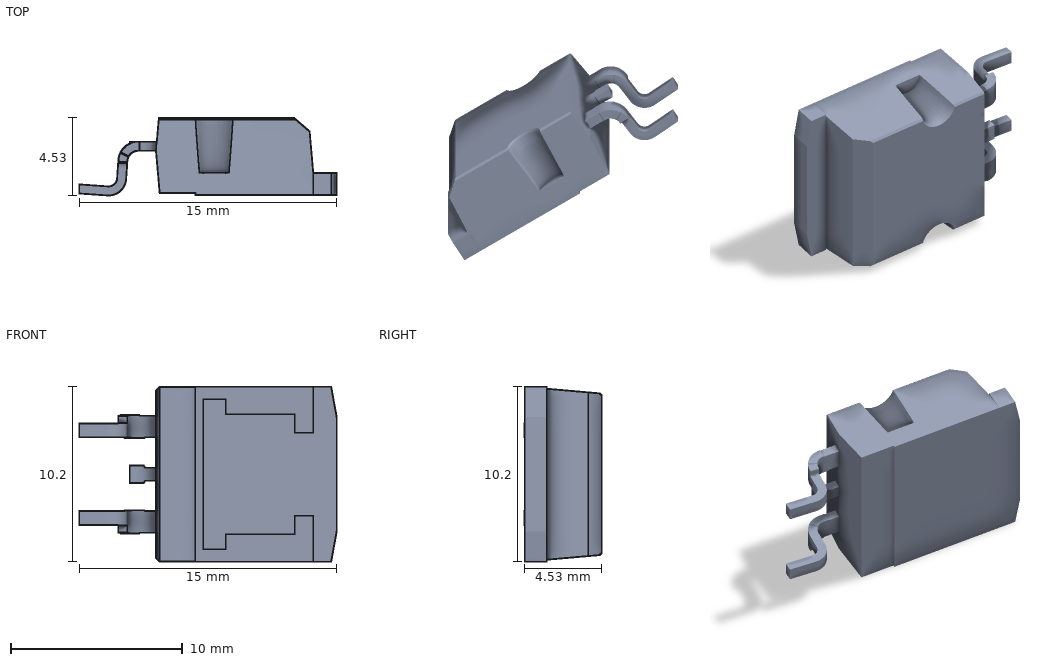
import cadquery as cq
import math


overall_length = 15.01
body_height = 4.5
body_width = 10.2
draft = math.tan(math.radians(5))

parting_height = 2.575
parting_left_x = 4.47
bevel_start_x = 12.52
bevel_end_x = 13.435
bevel_end_height = 3.71
back_edge_chamfer = 0.12
face_step_x = 6.777
face_step_depth = 0.11

notch_x = 7.866
notch_center_z = 4.9
notch_floor_radius = 0.865
notch_mouth_radius = 1.105
notch_rim_flare = 0.06

tab_thickness = 1.293
tab_start_x = 13.65
tab_taper_x = 14.69
tab_end_half_width = body_width / 2 - 1.763
pad_left_x = 7.233
pad_head_end_x = 8.553
pad_ear_start_x = 12.568
pad_head_half_width = 4.367
pad_half_width = 3.503
pad_ear_half_width = 2.419

lead_thickness = 0.542
lead_overrun = 0.5
lead_tilt = math.radians(4)
foot_drop = 0.03
foot_bend_radius = 0.76
top_bend_radius = 0.9
top_bend_x = 3.445
foot_inner_z = 2.142
foot_outer_z = 2.961
stub_outer_z = 3.413
bar_overhang = 0.045
bar_end_slope = 45
inner_shoulder_x = 3.845
outer_shoulder_x = 3.535
inner_bar_angle = math.radians(46)
outer_bar_angle = math.radians(26)
stub_length = 0.11
stub_corner = 0.045

center_lead_tip_x = 2.94
center_lead_half_width = 0.519
center_neck_half_width = 0.384
center_shoulder_start_x = 3.76
center_shoulder_end_x = 3.85

lead_run_end_x = parting_left_x + lead_overrun
lead_top = parting_height + lead_thickness


def mirrored_outline(half):
    """Close an outline in X and Z whose second half mirrors the first across Z = 0."""
    return half + [(x, -z) for x, z in reversed(half)]


def plate(outline, bottom, top):
    """Extrude an outline in X and Z upwards in Y."""
    return cq.Workplane("XZ", origin=(0, bottom, 0)).polyline(outline).close().extrude(bottom - top)


def slab(outline, z_low, z_high):
    """Extrude an outline in X and Y between two Z levels."""
    return cq.Workplane("XY", origin=(0, 0, z_low)).polyline(outline).close().extrude(z_high - z_low)


def make_tab():
    half = [
        (pad_left_x, pad_head_half_width),
        (pad_head_end_x, pad_head_half_width),
        (pad_head_end_x, pad_half_width),
        (pad_ear_start_x, pad_half_width),
        (pad_ear_start_x, pad_ear_half_width),
        (tab_start_x, pad_ear_half_width),
        (tab_start_x, body_width / 2),
        (tab_taper_x, body_width / 2),
        (overall_length, tab_end_half_width),
    ]
    return plate(mirrored_outline(half), 0, tab_thickness)


def make_notch(side):
    """Tapered round cutter with a flared rim; side is +1 or -1."""
    rim_height = body_height - back_edge_chamfer
    rim_radius = notch_mouth_radius + notch_rim_flare
    profile = [
        (0, tab_thickness),
        (notch_floor_radius, tab_thickness),
        (notch_mouth_radius, rim_height),
        (rim_radius, body_height),
        (0, body_height),
    ]
    cutter = cq.Workplane("XY").polyline(profile).close().revolve(360, (0, 0), (0, 1))
    return cutter.translate((notch_x, 0, side * notch_center_z))


def make_housing(tab):
    length_section = [
        (parting_left_x + parting_height * draft, 0),
        (parting_left_x, parting_height),
        (parting_left_x + (body_height - parting_height) * draft, body_height),
        (bevel_start_x, body_height),
        (bevel_end_x, bevel_end_height),
        (bevel_end_x + bevel_end_height * draft, 0),
    ]
    side_z = body_width / 2
    rim_height = body_height - back_edge_chamfer
    rim_z = side_z - rim_height * draft
    right_side = [(0, side_z), (rim_height, rim_z), (body_height, rim_z - back_edge_chamfer)]
    cross_section = right_side + [(y, -z) for y, z in reversed(right_side)]
    tapered_block = cq.Workplane("YZ").polyline(cross_section).close().extrude(overall_length)
    housing = slab(length_section, -side_z, side_z).intersect(tapered_block)

    face_step = cq.Workplane("XY").box(face_step_x, face_step_depth, body_width, centered=(False, False, True))
    housing = housing.cut(face_step)
    for side in (1, -1):
        housing = housing.cut(make_notch(side))
    return housing.cut(tab)


half_thickness = lead_thickness / 2
top_bend_y = parting_height + half_thickness - top_bend_radius
foot_bend_y = foot_bend_radius + half_thickness - foot_drop
riser_dir = (math.sin(lead_tilt), math.cos(lead_tilt))
riser_normal = (math.cos(lead_tilt), -math.sin(lead_tilt))
riser_top = (top_bend_x - top_bend_radius * riser_normal[0], top_bend_y - top_bend_radius * riser_normal[1])
riser_foot_y = foot_bend_y + foot_bend_radius * riser_normal[1]
riser_foot_x = riser_top[0] - (riser_top[1] - riser_foot_y) * math.tan(lead_tilt)
foot_bend_x = riser_foot_x - foot_bend_radius * riser_normal[0]


def on_circle(x, y, radius, angle):
    return (x + radius * math.cos(angle), y + radius * math.sin(angle))


def lead_strip(z_low, z_high):
    """The whole bent strip of an outer lead, between two Z levels."""

    def top_bend(offset, angle):
        return on_circle(top_bend_x, top_bend_y, top_bend_radius + offset, angle)

    def foot_bend(offset, angle):
        return on_circle(foot_bend_x, foot_bend_y, foot_bend_radius - offset, angle)

    def tip(offset):
        x, y = foot_bend(offset, foot_end)
        return (0, y + x * math.tan(lead_tilt))

    upright = math.pi / 2
    riser_start = math.pi - lead_tilt
    top_middle = (upright + riser_start) / 2
    foot_start = -lead_tilt
    foot_end = -upright - lead_tilt
    foot_middle = (foot_start + foot_end) / 2
    outer = half_thickness
    inner = -half_thickness
    strip = (
        cq.Workplane("XY", origin=(0, 0, z_low))
        .moveTo(lead_run_end_x, lead_top)
        .lineTo(*top_bend(outer, upright))
        .threePointArc(top_bend(outer, top_middle), top_bend(outer, riser_start))
        .lineTo(*foot_bend(outer, foot_start))
        .threePointArc(foot_bend(outer, foot_middle), foot_bend(outer, foot_end))
        .lineTo(*tip(outer))
        .lineTo(*tip(inner))
        .lineTo(*foot_bend(inner, foot_end))
        .threePointArc(foot_bend(inner, foot_middle), foot_bend(inner, foot_start))
        .lineTo(*top_bend(inner, riser_start))
        .threePointArc(top_bend(inner, top_middle), top_bend(inner, upright))
        .lineTo(lead_run_end_x, parting_height)
        .close()
    )
    return strip.extrude(z_high - z_low)


def bar_remnant(shoulder_x, end_angle, lead_side, direction):
    """Raised patch with sloped ends that the cut-off tie bar leaves on one side of the lead.

    It covers the run from shoulder_x and the bend down to end_angle above the level of the bend
    centre, and rises from the Z level lead_side towards the given direction, +1 or -1.
    """
    reach = top_bend_radius + lead_thickness
    bend_end = on_circle(top_bend_x, top_bend_y, reach, math.pi - end_angle)
    outline = [
        (top_bend_x, top_bend_y),
        (shoulder_x, top_bend_y),
        (shoulder_x, top_bend_y + reach),
        (bend_end[0], top_bend_y + reach),
        bend_end,
    ]
    patch_plane = cq.Workplane("XY", origin=(0, 0, lead_side))
    patch = patch_plane.polyline(outline).close().extrude(direction * bar_overhang, taper=bar_end_slope)
    wide_side = lead_side + direction * bar_overhang
    return lead_strip(min(lead_side, wide_side), max(lead_side, wide_side)).intersect(patch)


def stub_zone():
    """Block, square to the riser, that keeps the stub beside the foot and everything above it."""
    end_plane = cq.Plane(
        origin=(riser_top[0] - stub_length * riser_dir[0], riser_top[1] - stub_length * riser_dir[1], 0),
        xDir=(riser_dir[0], riser_dir[1], 0),
        normal=(riser_normal[0], riser_normal[1], 0),
    )
    outline = [
        (-stub_corner, foot_outer_z),
        (0, foot_outer_z + stub_corner),
        (0, stub_outer_z - stub_corner),
        (stub_corner, stub_outer_z),
        (body_height, stub_outer_z),
        (body_height, foot_inner_z),
        (-stub_corner, foot_inner_z),
    ]
    return cq.Workplane(end_plane).polyline(outline).close().extrude(overall_length, both=True)


def make_outer_lead(housing):
    foot = lead_strip(foot_inner_z, foot_outer_z)
    stub = lead_strip(foot_inner_z, stub_outer_z).intersect(stub_zone())
    inner_bar = bar_remnant(inner_shoulder_x, inner_bar_angle, foot_inner_z, -1)
    outer_bar = bar_remnant(outer_shoulder_x, outer_bar_angle, stub_outer_z, 1)
    return foot.union(stub).union(inner_bar).union(outer_bar).cut(housing)


def make_center_lead(housing):
    half = [
        (center_lead_tip_x, center_lead_half_width),
        (center_shoulder_start_x, center_lead_half_width),
        (center_shoulder_end_x, center_neck_half_width),
        (lead_run_end_x, center_neck_half_width),
    ]
    return plate(mirrored_outline(half), parting_height, lead_top).cut(housing)


tab = make_tab()
housing = make_housing(tab)
center_lead = make_center_lead(housing)
upper_lead = make_outer_lead(housing)
outer_leads = [upper_lead, upper_lead.mirror("XY")]

bodies = [housing, tab, center_lead, *outer_leads]
result = cq.Compound.makeCompound([body.solids().val() for body in bodies])